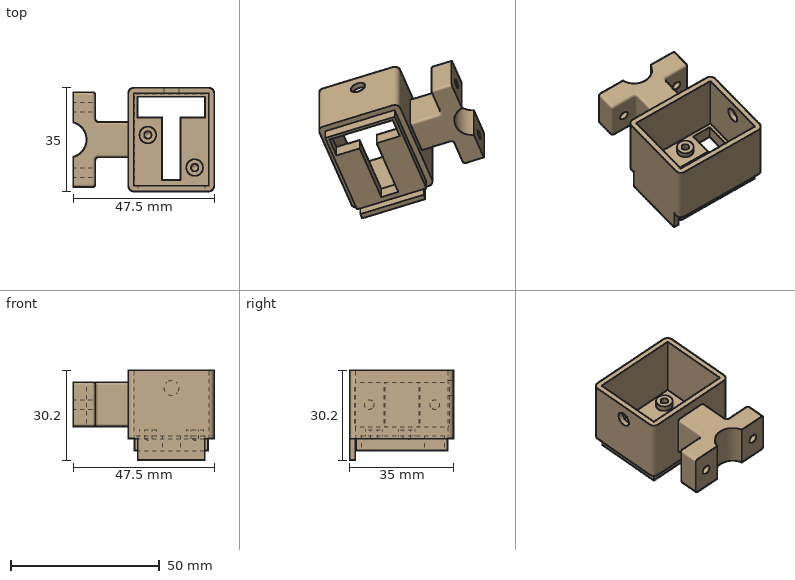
import cadquery as cq

overall_x = 47.5
box_x = 28.98
box_y = 35.0
box_height = 23.0
wall = 1.95
corner_radius = 2.0
floor_top = 1.0
box_center_x = overall_x - box_x / 2
cavity_x = box_x - 2 * wall
cavity_y = box_y - 2 * wall

plug_clearance = 0.1
plug_depth = 4.1
plug_x = cavity_x - 2 * plug_clearance
plug_y = cavity_y - 2 * plug_clearance

rim = 1.1
bar_x = plug_x - 2 * rim
bar_y_max = plug_y / 2 - rim
bar_y_min = 7.5
stem_x = 6.1
stem_y_min = -13.6

tab_x = bar_x
tab_thickness = 1.9
tab_length = 7.2

boss_diameter = 5.6
boss_height = 2.0
pilot_diameter = 2.5
pilot_depth = 2.85
drill_tip_depth = 0.75
boss_offset_x = 7.9
boss_places = [(-boss_offset_x, 1.55), (boss_offset_x, -9.4)]

port_diameter = 5.0
port_z = 17.1

clamp_x = 7.5
clamp_y = 32.0
clamp_height = 15.0
clamp_center_z = box_height / 2
neck_y = 11.95
edge_radius = 1.0
saddle_radius = 6.0
saddle_center_x = -1.5
clamp_hole_diameter = 3.2
clamp_hole_offset_y = 11.0


def block(size_x, size_y, z_min, z_max, center_x=box_center_x, center_y=0.0):
    """Upright block given by its plan size, plan centre and height range."""
    plan = cq.Workplane("XY", origin=(center_x, center_y, z_min)).rect(size_x, size_y)
    return plan.extrude(z_max - z_min)


def make_box():
    shell = block(box_x, box_y, 0, box_height).edges("|Z").fillet(corner_radius)
    cavity = block(cavity_x, cavity_y, floor_top, box_height)
    port = (
        cq.Workplane("XZ", origin=(box_center_x, box_y / 2, port_z))
        .circle(port_diameter / 2)
        .extrude(2 * wall)
    )
    plug = block(plug_x, plug_y, -plug_depth, floor_top)
    tab = block(tab_x, tab_thickness, -tab_length, 0, center_y=(tab_thickness - box_y) / 2)
    return shell.cut(cavity).cut(port).union(plug).union(tab)


def make_opening():
    bar = block(
        bar_x, bar_y_max - bar_y_min, -plug_depth, floor_top, center_y=(bar_y_max + bar_y_min) / 2
    )
    stem = block(
        stem_x, bar_y_max - stem_y_min, -plug_depth, floor_top, center_y=(bar_y_max + stem_y_min) / 2
    )
    return bar.union(stem)


def add_bosses(body):
    boss_top = floor_top + boss_height
    for offset_x, y in boss_places:
        base = cq.Workplane("XY", origin=(box_center_x + offset_x, y, floor_top))
        body = body.union(base.circle(boss_diameter / 2).extrude(boss_height))
        pilot = (
            cq.Workplane("XZ", origin=(box_center_x + offset_x, y, boss_top))
            .polyline([
                (0, 0),
                (pilot_diameter / 2, 0),
                (pilot_diameter / 2, -pilot_depth),
                (0, -pilot_depth - drill_tip_depth),
            ])
            .close()
            .revolve(360, (0, 0, 0), (0, 1, 0))
        )
        body = body.cut(pilot)
    return body


def make_clamp():
    z_min = clamp_center_z - clamp_height / 2
    z_max = clamp_center_z + clamp_height / 2
    neck_end = overall_x - box_x
    jaw = block(clamp_x, clamp_y, z_min, z_max, center_x=clamp_x / 2)
    neck = block(neck_end, neck_y, z_min, z_max, center_x=neck_end / 2)
    clamp = jaw.union(neck).edges("not(<X or >X)").fillet(edge_radius)
    saddle = (
        cq.Workplane("XY", origin=(saddle_center_x, 0, z_min))
        .circle(saddle_radius)
        .extrude(clamp_height)
    )
    holes = (
        cq.Workplane("YZ", origin=(0, 0, clamp_center_z))
        .pushPoints([(-clamp_hole_offset_y, 0), (clamp_hole_offset_y, 0)])
        .circle(clamp_hole_diameter / 2)
        .extrude(clamp_x)
    )
    return clamp.cut(saddle).cut(holes)


result = add_bosses(make_box().cut(make_opening())).union(make_clamp())